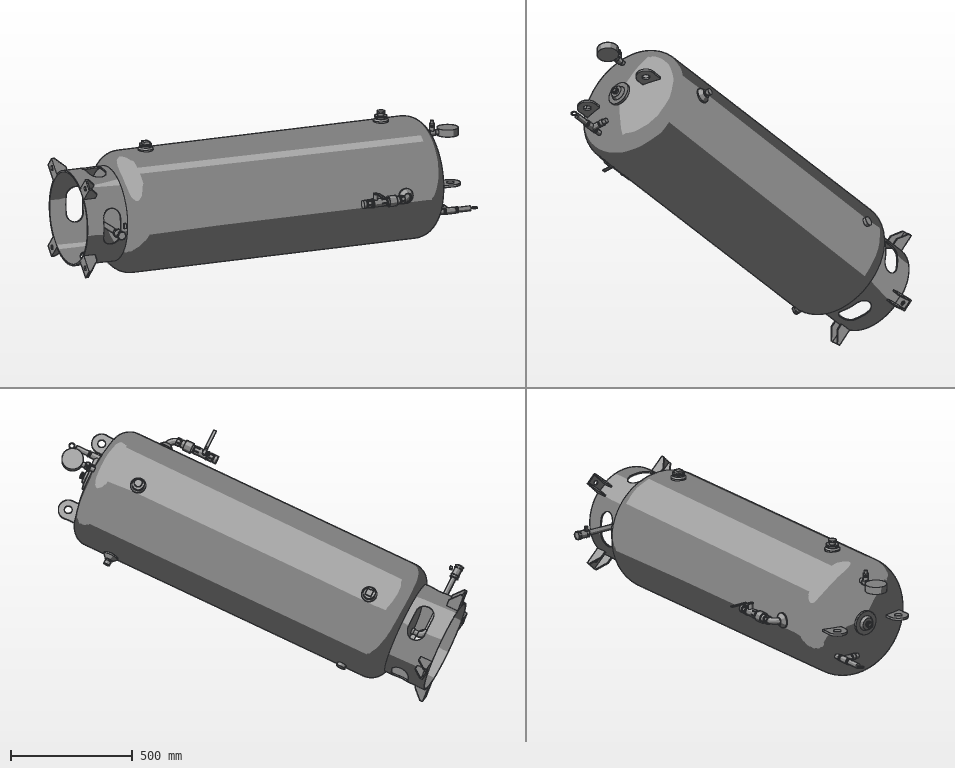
import cadquery as cq
import math


shell_diameter = 508.0
shell_start = 254.0
shell_length = 1270.0
crown_radius = 711.2
knuckle_radius = 78.0
crown_entry_height = 70.0

skirt_wall = 6.35
skirt_slot_length = 152.4
skirt_slot_width = 76.2
skirt_slot_height = 111.0

foot_reach = 271.0
foot_width = 52.0
foot_plate = 6.35
foot_height = 51.0
foot_top_reach = 224.0
foot_toe_height = 12.7
foot_hole_diameter = 19.05
foot_hole_reach = 240.0

lug_spacing = 313.0
lug_radius = 41.3
lug_hole_diameter = 31.75
lug_hole_height = 1647.0
lug_thickness = 9.5
lug_outer_side = 196.0
lug_inner_side = 115.0

upper_port_height = 1403.35
lower_port_height = 346.1
port_reach = 297.18
port_diameter = 63.5
port_sink = 8.0
collar_rim = 5.0
bush_start = 266.0
bush_diameter = 44.45
ring_port_diameter = 50.8
ring_start = 273.0
ring_end = 278.0
cap_height = 7.0
plug_side = 26.67
plug_height = 11.0
side_collar_end = 275.0
side_plug_neck = 6.0
coupling_diameter = 38.1
coupling_reach = 268.0

half_inch_pipe = 21.34
three_quarter_pipe = 26.67
one_inch_pipe = 33.4

dome_flange_top = 1635.5
dome_flange_depth = 14.0
dome_flange_diameter = 101.6
dome_hub_height = 14.0

gauge_diameter = 88.9
gauge_thickness = 30.48
gauge_height = 1703.5
gauge_offset = 177.0
tee_height = 1633.0
tee_length = 24.0

relief_offset = 126.5
relief_outlet_height = 1648.5
ring_diameter = 25.4
ring_hole_diameter = 19.05
ring_thickness = 2.54
overall_length = 1781.17

outlet_offset = 302.0
outlet_bend_radius = 41.0
outlet_stack_top = 1374.3
outlet_hex_corners = 35.5
outlet_nuts = [(0, 16.0), (82.0, 21.0), (149.0, 17.0)]
valve_stem_height = 1247.0
valve_stem_diameter = 19.05
lever_base = 38.1
lever_step = 5.5
lever_flat = 16.0
lever_slope_length = 6.0
lever_thickness = 2.54
lever_width = 12.7
lever_tip = 401.32

drain_height = 94.5
drain_bend_radius = 28.0
drain_sink = 10.0
drain_coupling_length = 20.0
drain_valve_start = 277.0
drain_valve_length = 57.0
drain_flange_length = 3.0
drain_flange_offsets = (0, 11.0, 43.0, 54.0)
drain_hex_corners = 36.0
drain_handle_size = (10.16, 10.16, 20.32)
drain_handle_center = (303.5, 120.0, 32.0)

shell_radius = shell_diameter / 2
shell_end = shell_start + shell_length
port_root = shell_radius - port_sink
collar_start = shell_radius + collar_rim
crown_entry = shell_end + crown_entry_height
knuckle_center_radius = shell_radius - knuckle_radius
crown_sine = knuckle_center_radius / (crown_radius - knuckle_radius)
skirt_radius = crown_radius * crown_sine
skirt_diameter = 2 * skirt_radius
crown_cosine = math.sqrt(1 - crown_sine**2)
crown_center = -(crown_radius - knuckle_radius) * crown_cosine
apex_rise = crown_center + crown_radius
half_knuckle = (math.pi / 2 + math.asin(crown_sine)) / 2

PLUS_X = cq.Vector(1, 0, 0)
PLUS_Y = cq.Vector(0, 1, 0)
PLUS_Z = cq.Vector(0, 0, 1)


def turned(start, direction, steps):
    """Coaxial cylinders laid end to end; each step is (diameter, length)."""
    point = cq.Vector(*start)
    solid = None
    for diameter, length in steps:
        piece = cq.Workplane(cq.Solid.makeCylinder(diameter / 2, length, point, direction))
        solid = piece if solid is None else solid.union(piece)
        point = point + direction * length
    return solid


def cone(start, direction, base_diameter, top_diameter, length):
    return cq.Workplane(
        cq.Solid.makeCone(base_diameter / 2, top_diameter / 2, length, cq.Vector(*start), direction)
    )


def hexagon_bar(start, direction, corner_axis, corners, length):
    """Hexagonal bar with two of its corners on the given axis."""
    plane = cq.Plane(origin=start, xDir=corner_axis, normal=direction)
    return cq.Workplane(plane).polygon(6, corners).extrude(length)


def polar(radius, angle):
    return radius * math.sin(angle), radius * math.cos(angle)


def vessel():
    knuckle_x, knuckle_y = polar(knuckle_radius, half_knuckle)
    knuckle_mid = (knuckle_center_radius + knuckle_x, knuckle_y)
    crown_edge = (crown_radius * crown_sine, knuckle_radius * crown_cosine)
    mid_x, mid_y = polar(crown_radius, math.asin(crown_sine) / 2)
    crown_mid = (mid_x, crown_center + mid_y)

    def top(point):
        return (point[0], shell_end + point[1])

    def bottom(point):
        return (point[0], shell_start - point[1])

    return (
        cq.Workplane("XY")
        .moveTo(*bottom((0, apex_rise)))
        .threePointArc(bottom(crown_mid), bottom(crown_edge))
        .threePointArc(bottom(knuckle_mid), (shell_radius, shell_start))
        .lineTo(shell_radius, shell_end)
        .threePointArc(top(knuckle_mid), top(crown_edge))
        .threePointArc(top(crown_mid), top((0, apex_rise)))
        .close()
        .revolve(360, (0, 0), (0, 1))
    )


def skirt():
    length = shell_start - knuckle_radius * crown_cosine
    tube = turned((0, 0, 0), PLUS_Y, [(skirt_diameter, length + skirt_wall)])
    bore = turned((0, 0, 0), PLUS_Y, [(skirt_diameter - 2 * skirt_wall, length + skirt_wall)])
    window = (
        cq.Workplane("XY")
        .center(0, skirt_slot_height)
        .slot2D(skirt_slot_length, skirt_slot_width)
        .extrude(skirt_diameter, both=True)
    )
    side_window = window.rotate((0, 0, 0), (0, 1, 0), 90)
    return tube.cut(bore).cut(window).cut(side_window)


def foot(angle):
    inner = skirt_radius - skirt_wall
    plate = (
        cq.Workplane("XY")
        .box(foot_reach - inner, foot_plate, foot_width, centered=(False, False, True))
        .translate((inner, 0, 0))
    )
    hole = turned((foot_hole_reach, 0, 0), PLUS_Y, [(foot_hole_diameter, foot_plate)])
    gussets = (
        cq.Workplane("XY")
        .polyline(
            [
                (inner, 0),
                (foot_reach, 0),
                (foot_reach, foot_toe_height),
                (foot_top_reach, foot_height),
                (inner, foot_height),
            ]
        )
        .close()
        .extrude(foot_width / 2, both=True)
    )
    channel = cq.Workplane("XY").box(foot_reach * 2, foot_height * 2, foot_width - 2 * foot_plate)
    foot_body = plate.cut(hole).union(gussets.cut(channel))
    inside = turned((0, 0, 0), PLUS_Y, [(skirt_diameter - 2 * skirt_wall, foot_height)])
    return foot_body.rotate((0, 0, 0), (0, 1, 0), angle).cut(inside)


def lug(side):
    center = lug_spacing / 2
    base = shell_end + knuckle_radius * crown_cosine / 2
    leg = (
        cq.Workplane("XY")
        .polyline(
            [
                (lug_inner_side, base),
                (lug_inner_side, lug_hole_height),
                (lug_outer_side, lug_hole_height),
                (lug_outer_side, base),
            ]
        )
        .close()
        .extrude(lug_thickness / 2, both=True)
    )
    eye = (
        cq.Workplane("XY")
        .center(center, lug_hole_height)
        .circle(lug_radius)
        .extrude(lug_thickness / 2, both=True)
    )
    hole = (
        cq.Workplane("XY")
        .center(center, lug_hole_height)
        .circle(lug_hole_diameter / 2)
        .extrude(lug_thickness, both=True)
    )
    plate = leg.union(eye).cut(hole)
    return plate if side > 0 else plate.mirror("YZ")


def port_point(distance, height, direction):
    """Point at a distance from the tank axis along a side port."""
    return (direction * distance + PLUS_Y * height).toTuple()


def port_collar(height, direction, top_diameter, top_distance):
    """Weld collar that tapers away from the shell."""
    base = turned(
        port_point(port_root, height, direction), direction, [(port_diameter, collar_start - port_root)]
    )
    taper = cone(
        port_point(collar_start, height, direction),
        direction,
        port_diameter,
        top_diameter,
        top_distance - collar_start,
    )
    return base.union(taper)


def ringed_port(height):
    """Top port: tapered collar, bush and flange ring."""
    bush = turned(
        port_point(bush_start, height, PLUS_Z),
        PLUS_Z,
        [(bush_diameter, ring_start - bush_start), (ring_port_diameter, ring_end - ring_start)],
    )
    return port_collar(height, PLUS_Z, ring_port_diameter, bush_start).union(bush)


def capped_port():
    cap = turned(
        port_point(ring_end, upper_port_height, PLUS_Z),
        PLUS_Z,
        [(three_quarter_pipe, port_reach - cap_height - ring_end), (one_inch_pipe, cap_height)],
    )
    return ringed_port(upper_port_height).union(cap)


def square_plug_port():
    plug = (
        cq.Workplane("XY", origin=(0, lower_port_height, ring_end))
        .rect(plug_side, plug_side)
        .extrude(plug_height)
    )
    return ringed_port(lower_port_height).union(plug)


def side_plug_port():
    collar = port_collar(upper_port_height, -PLUS_X, one_inch_pipe, side_collar_end)
    plug = turned(
        port_point(side_collar_end, upper_port_height, -PLUS_X),
        -PLUS_X,
        [
            (half_inch_pipe, side_plug_neck),
            (three_quarter_pipe, port_reach - side_collar_end - side_plug_neck),
        ],
    )
    return collar.union(plug)


def plain_coupling():
    start = (-port_root, lower_port_height, 0)
    return turned(start, -PLUS_X, [(coupling_diameter, coupling_reach - port_root)])


def dome_boss():
    flange = turned(
        (0, dome_flange_top - dome_flange_depth, 0), PLUS_Y, [(dome_flange_diameter, dome_flange_depth)]
    )
    hub = cone((0, dome_flange_top, 0), PLUS_Y, port_diameter, ring_port_diameter, dome_hub_height)
    plug = turned(
        (0, dome_flange_top + dome_hub_height, 0),
        PLUS_Y,
        [
            (25.4, 7.0),
            (15.24, 5.0),
            (27.94, 4.0),
        ],
    )
    return flange.union(hub).union(plug)


def gauge():
    dial = turned(
        (0, gauge_height, gauge_offset - gauge_thickness / 2), PLUS_Z, [(gauge_diameter, gauge_thickness)]
    )
    neck_start = tee_height + tee_length / 2
    run = turned(
        (0, crown_entry, gauge_offset),
        PLUS_Y,
        [
            (half_inch_pipe, tee_height - tee_length / 2 - crown_entry),
            (three_quarter_pipe, tee_length),
            (half_inch_pipe, gauge_height - neck_start),
        ],
    )
    branch = turned(
        (0, tee_height, gauge_offset),
        PLUS_Z,
        [
            (half_inch_pipe, 26.0),
            (13.72, 6.0),
            (half_inch_pipe, 8.0),
            (13.72, 12.0),
        ],
    )
    return dial.union(run).union(branch)


def relief_valve():
    stack = turned(
        (relief_offset, crown_entry, -relief_offset),
        PLUS_Y,
        [
            (half_inch_pipe, 34.0),
            (three_quarter_pipe, 6.0),
            (half_inch_pipe, 4.0),
            (three_quarter_pipe, 43.0),
            (15.24, 6.0),
            (three_quarter_pipe, 5.0),
            (half_inch_pipe, 57.0),
            (2.54, 9.0),
        ],
    )
    outlet = turned(
        (relief_offset, relief_outlet_height, -relief_offset),
        -PLUS_X,
        [
            (25.4, 37.0),
            (15.24, 6.0),
            (three_quarter_pipe, 15.0),
            (half_inch_pipe, 16.0),
        ],
    )
    ring = (
        cq.Workplane("XY")
        .center(relief_offset, overall_length - ring_diameter / 2)
        .circle(ring_diameter / 2)
        .circle(ring_hole_diameter / 2)
        .extrude(ring_thickness / 2, both=True)
        .translate((0, 0, -relief_offset))
    )
    return stack.union(outlet).union(ring)


def outlet_line():
    bend_start = outlet_offset - outlet_bend_radius
    bend_end = upper_port_height - outlet_bend_radius
    bend_offset = outlet_bend_radius * math.sqrt(0.5)
    path = (
        cq.Workplane("XY")
        .moveTo(port_root, upper_port_height)
        .lineTo(bend_start, upper_port_height)
        .threePointArc((bend_start + bend_offset, bend_end + bend_offset), (outlet_offset, bend_end))
    )
    elbow = (
        cq.Workplane("YZ", origin=(port_root, upper_port_height, 0))
        .circle(three_quarter_pipe / 2)
        .sweep(path)
    )
    stack_top = (outlet_offset, outlet_stack_top, 0)
    stack = turned(
        stack_top,
        -PLUS_Y,
        [
            (one_inch_pipe, 16.0),
            (three_quarter_pipe, 6.0),
            (one_inch_pipe, 15.0),
            (44.45, 33.0),
            (one_inch_pipe, 7.0),
            (three_quarter_pipe, 5.0),
            (one_inch_pipe, 57.0),
            (38.1, 4.0),
            (three_quarter_pipe, 6.0),
            (one_inch_pipe, 17.0),
            (three_quarter_pipe, 5.0),
            (one_inch_pipe, 13.0),
        ],
    )
    for nut_distance, nut_length in outlet_nuts:
        nut_start = (outlet_offset, outlet_stack_top - nut_distance, 0)
        stack = stack.union(hexagon_bar(nut_start, -PLUS_Y, PLUS_X, outlet_hex_corners, nut_length))
    stem = turned((outlet_offset, valve_stem_height, 0), PLUS_Z, [(valve_stem_diameter, lever_base)])
    base = port_collar(upper_port_height, PLUS_X, one_inch_pipe, side_collar_end)
    return base.union(elbow).union(stack).union(stem)


def drain_line():
    bend_top = drain_height + drain_bend_radius
    bend_offset = drain_bend_radius * (1 - math.sqrt(0.5))
    apex = shell_start - apex_rise
    nipple = turned(
        (0, apex + drain_sink, 0),
        -PLUS_Y,
        [
            (three_quarter_pipe, drain_coupling_length),
            (half_inch_pipe, apex + drain_sink - drain_coupling_length - bend_top),
        ],
    )
    path = (
        cq.Workplane("XY")
        .moveTo(0, bend_top)
        .threePointArc((bend_offset, drain_height + bend_offset), (drain_bend_radius, drain_height))
    )
    elbow = cq.Workplane("XZ", origin=(0, bend_top, 0)).circle(three_quarter_pipe / 2).sweep(path)
    pipe = turned(
        (drain_bend_radius, drain_height, 0),
        PLUS_X,
        [(half_inch_pipe, drain_valve_start - drain_bend_radius), (31.75, drain_valve_length)],
    )
    line = nipple.union(elbow).union(pipe)
    for offset in drain_flange_offsets:
        flange_start = (drain_valve_start + offset, drain_height, 0)
        flange = hexagon_bar(flange_start, PLUS_X, PLUS_Y, drain_hex_corners, drain_flange_length)
        line = line.union(flange)
    return line


def tank():
    body = vessel().union(skirt())
    for angle in (45, 135, 225, 315):
        body = body.union(foot(angle))
    for side in (1, -1):
        body = body.union(lug(side))
    for fitting in (
        capped_port(),
        side_plug_port(),
        square_plug_port(),
        plain_coupling(),
        dome_boss(),
        gauge(),
        relief_valve(),
        outlet_line(),
        drain_line(),
    ):
        body = body.union(fitting)
    return body


def outlet_lever():
    start = outlet_offset - valve_stem_diameter / 2
    step_start = outlet_offset + lever_flat
    step_end = step_start + lever_slope_length
    top = lever_base + lever_step
    return (
        cq.Workplane("XZ", origin=(0, valve_stem_height + lever_width / 2, 0))
        .polyline(
            [
                (start, lever_base),
                (step_start, lever_base),
                (step_end, top),
                (lever_tip, top),
                (lever_tip, top + lever_thickness),
                (step_end, top + lever_thickness),
                (step_start, lever_base + lever_thickness),
                (start, lever_base + lever_thickness),
            ]
        )
        .close()
        .extrude(lever_width)
    )


def drain_handle():
    return cq.Workplane("XY").box(*drain_handle_size).translate(drain_handle_center)


result = cq.Compound.makeCompound([*tank().vals(), outlet_lever().val(), drain_handle().val()])